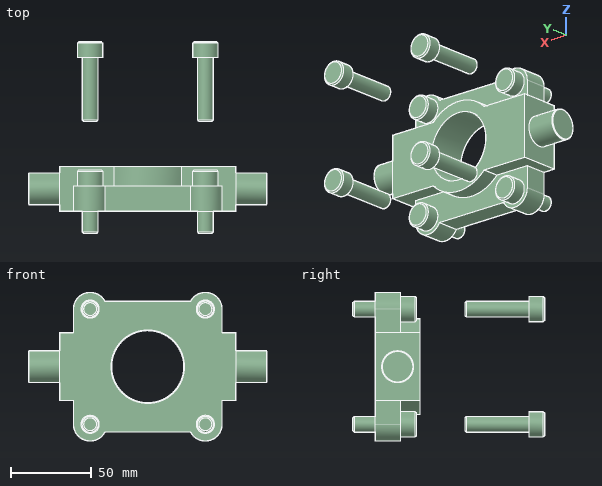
import cadquery as cq


BLOCK_LENGTH = 110.0
BLOCK_HEIGHT = 42.5
BLOCK_DEPTH = 28.0

PLATE_WIDTH = 93.0
PLATE_HEIGHT = 81.8
PLATE_DEPTH = 16.0
BOLT_SPACING = 72.0
LOBE_RADIUS = (PLATE_WIDTH - BOLT_SPACING) / 2
BOLT_HOLE_DIAMETER = 11.3

BOSS_DIAMETER = 60.0
BORE_DIAMETER = 45.0
BORE_CHAMFER = 0.5

TRUNNION_SPAN = 149.0
TRUNNION_DIAMETER = 20.0
TRUNNION_CHAMFER = 0.5

HEAD_DIAMETER = 16.0
HEAD_HEIGHT = 10.0
SHANK_DIAMETER = 10.0
BOLT_CHAMFER = 0.97
FITTED_SHANK_LENGTH = 30.0
LOOSE_SHANK_LENGTH = 40.0
LOOSE_SEAT_Y = 96.0

HALF_SPACING = BOLT_SPACING / 2
BOLT_CENTRES = [
    (x, z) for x in (-HALF_SPACING, HALF_SPACING) for z in (-HALF_SPACING, HALF_SPACING)
]


def slab(width, depth, height):
    """A box centred in X and Z, from Y = 0 to Y = depth."""
    return cq.Workplane("XY").box(width, depth, height, centered=(True, False, True))


def cylinders_along_y(diameter, front, back, centres):
    """Cylinders from Y = front to Y = back, one at each (x, z) centre."""
    plane = cq.Workplane("XZ", origin=(0, front, 0))
    return plane.pushPoints(centres).circle(diameter / 2).extrude(front - back)


def make_trunnion_shaft():
    """A shaft with chamfered ends that forms both trunnions."""
    plane = cq.Workplane("YZ", origin=(-TRUNNION_SPAN / 2, BLOCK_DEPTH / 2, 0))
    shaft = plane.circle(TRUNNION_DIAMETER / 2).extrude(TRUNNION_SPAN)
    return shaft.faces("<X or >X").chamfer(TRUNNION_CHAMFER)


def make_housing():
    """Trunnion block, flange plate, lobes and boss in one piece, with bore and bolt holes."""
    axis = [(0, 0)]
    housing = slab(BLOCK_LENGTH, BLOCK_DEPTH, BLOCK_HEIGHT)
    housing = housing.union(slab(PLATE_WIDTH, PLATE_DEPTH, BOLT_SPACING))
    housing = housing.union(slab(BOLT_SPACING, PLATE_DEPTH, PLATE_HEIGHT))
    housing = housing.union(cylinders_along_y(2 * LOBE_RADIUS, 0, PLATE_DEPTH, BOLT_CENTRES))
    housing = housing.union(cylinders_along_y(BOSS_DIAMETER, 0, BLOCK_DEPTH, axis))
    housing = housing.union(make_trunnion_shaft())
    housing = housing.cut(cylinders_along_y(BOLT_HOLE_DIAMETER, 0, PLATE_DEPTH, BOLT_CENTRES))
    housing = housing.cut(cylinders_along_y(BORE_DIAMETER, 0, BLOCK_DEPTH, axis))
    bore_rim = cq.selectors.RadiusNthSelector(-1)
    return housing.faces("<Y").edges(bore_rim).chamfer(BORE_CHAMFER)


def make_bolt(centre, seat_y, shank_length):
    """A bolt pointing toward -Y, with the underside of its head at Y = seat_y."""
    head = cylinders_along_y(HEAD_DIAMETER, seat_y, seat_y + HEAD_HEIGHT, [centre])
    head = head.faces(">Y").chamfer(BOLT_CHAMFER)
    shank = cylinders_along_y(SHANK_DIAMETER, seat_y - shank_length, seat_y, [centre])
    shank = shank.faces("<Y").chamfer(BOLT_CHAMFER)
    return head.union(shank)


housing = make_housing()
fitted_bolts = [make_bolt(centre, PLATE_DEPTH, FITTED_SHANK_LENGTH) for centre in BOLT_CENTRES]
loose_bolts = [make_bolt(centre, LOOSE_SEAT_Y, LOOSE_SHANK_LENGTH) for centre in BOLT_CENTRES]

result = cq.Compound.makeCompound(
    [housing.solids().val(), *[bolt.solids().val() for bolt in fitted_bolts + loose_bolts]]
)